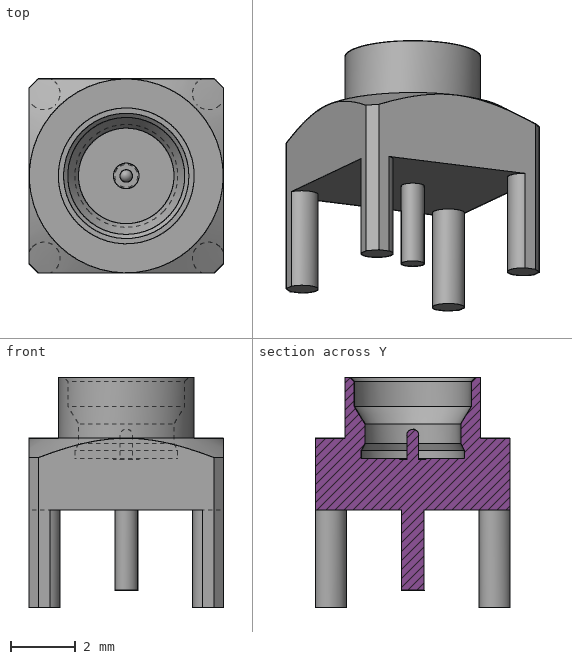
import cadquery as cq
import math

total_height = 7.1
pin_bottom = 0.53
body_bottom = 3.0
corner_bevel_bottom = 4.62
body_top = 5.225

body_width = 6.0
corner_chamfer = 0.29
top_circle_diameter = 5.98

leg_diameter = 0.995
leg_inset = 0.46

barrel_diameter = 4.19
mouth_diameter = 3.86
bore_diameter = 3.61
throat_diameter = 2.95
groove_diameter = 3.175
bore_depth = 0.895
throat_depth = 1.435
groove_start_depth = 2.045
groove_full_depth = 2.265
floor_depth = 2.5

insulator_diameter = 0.79
insulator_recess = 0.035
tail_diameter = 0.71
contact_diameter = 0.38
contact_top = 5.5


def cylinder(diameter, bottom, top):
    return cq.Workplane("XY").workplane(offset=bottom).circle(diameter / 2).extrude(top - bottom)


def square_prism():
    """Full-height square with chamfered corners; bounds the body and the legs."""
    return (
        cq.Workplane("XY")
        .rect(body_width, body_width)
        .extrude(total_height)
        .edges("|Z")
        .chamfer(corner_chamfer)
    )


def bevel_envelope():
    """Solid of revolution whose conical top bevels the body corners."""
    corner_radius = math.hypot(body_width / 2, body_width / 2 - corner_chamfer)
    top_radius = top_circle_diameter / 2
    slope = (body_top - corner_bevel_bottom) / (corner_radius - top_radius)
    outer_radius = body_width
    outer_height = body_top - slope * (outer_radius - top_radius)
    return (
        cq.Workplane("XZ")
        .polyline([
            (0, 0),
            (outer_radius, 0),
            (outer_radius, outer_height),
            (top_radius, body_top),
            (0, body_top),
        ])
        .close()
        .revolve(360, (0, 0, 0), (0, 1, 0))
    )


def body_with_legs():
    leg_spacing = body_width - 2 * leg_inset
    legs = (
        cq.Workplane("XY")
        .rect(leg_spacing, leg_spacing, forConstruction=True)
        .vertices()
        .circle(leg_diameter / 2)
        .extrude(body_bottom)
    )
    block = (
        cq.Workplane("XY")
        .workplane(offset=body_bottom)
        .rect(body_width, body_width)
        .extrude(body_top - body_bottom)
    )
    return block.union(legs).intersect(square_prism()).intersect(bevel_envelope())


def socket_cavity():
    """Bevelled mouth, bore, conical step, throat and a flared groove above the floor."""
    mouth_bevel = (mouth_diameter - bore_diameter) / 2
    return (
        cq.Workplane("XZ")
        .polyline([
            (0, total_height),
            (mouth_diameter / 2, total_height),
            (bore_diameter / 2, total_height - mouth_bevel),
            (bore_diameter / 2, total_height - bore_depth),
            (throat_diameter / 2, total_height - throat_depth),
            (throat_diameter / 2, total_height - groove_start_depth),
            (groove_diameter / 2, total_height - groove_full_depth),
            (groove_diameter / 2, total_height - floor_depth),
            (0, total_height - floor_depth),
        ])
        .close()
        .revolve(360, (0, 0, 0), (0, 1, 0))
    )


def contact():
    """Contact pin with a hemispherical tip, rising from the socket floor."""
    tip_radius = contact_diameter / 2
    shank = cylinder(contact_diameter, body_bottom, contact_top - tip_radius)
    tip = cq.Workplane("XY").sphere(tip_radius).translate((0, 0, contact_top - tip_radius))
    return shank.union(tip)


floor_height = total_height - floor_depth
result = (
    body_with_legs()
    .union(cylinder(barrel_diameter, body_bottom, total_height))
    .cut(socket_cavity())
    .cut(cylinder(insulator_diameter, floor_height - insulator_recess, floor_height))
    .union(cylinder(tail_diameter, pin_bottom, body_bottom))
    .union(contact())
)